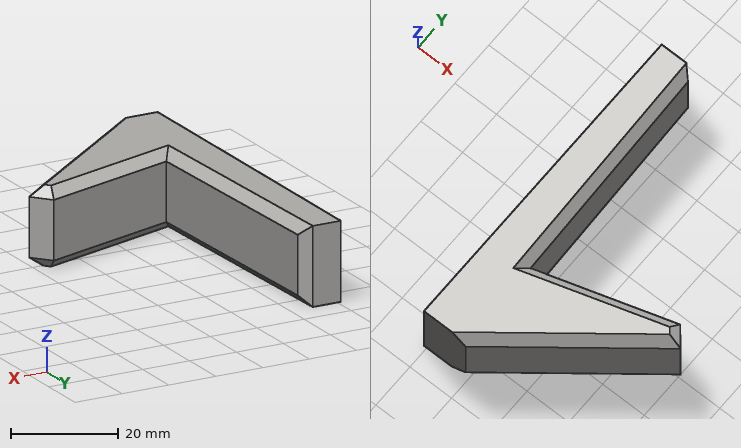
import cadquery as cq

length = 70.0
width = 41.3
thickness = 16.0

arm_end_width = 8.0
base_width = 10.0
notch_x, notch_y = 9.3, 20.0
tip_upper_x, tip_upper_y = 38.15, 28.8
tip_lower_y = 25.0

bevel = 2.0

base_corner = (base_width, 0)
tip_lower = (width, tip_lower_y)
tip_upper = (tip_upper_x, tip_upper_y)
notch = (notch_x, notch_y)
arm_corner = (arm_end_width, length)

beveled_chain = [base_corner, tip_lower, tip_upper, notch, arm_corner]


def make_body():
    """Extrude the check-mark outline."""
    outline = [(0, 0)] + beveled_chain + [(0, length)]
    return cq.Workplane("XY").polyline(outline).close().extrude(thickness)


def bevel_sides(body):
    """Bevel the top and bottom edges along the wing and the inner side of the arm."""
    edges = cq.Workplane("XY")
    for z in (0, thickness):
        for (x1, y1), (x2, y2) in zip(beveled_chain, beveled_chain[1:]):
            midpoint = ((x1 + x2) / 2, (y1 + y2) / 2, z)
            edges = edges.add(body.edges(cq.selectors.NearestToPointSelector(midpoint)))
    return body.newObject(edges.vals()).chamfer(bevel)


def trim_arm_corner(body):
    """Cut the inner corner of the arm end so that the cut meets the side bevels."""
    corner = (
        cq.Workplane("XY")
        .moveTo(arm_end_width - bevel, length)
        .line(2 * bevel, -2 * bevel)
        .line(0, 2 * bevel)
        .close()
        .extrude(thickness)
    )
    return body.cut(corner)


result = trim_arm_corner(bevel_sides(make_body()))